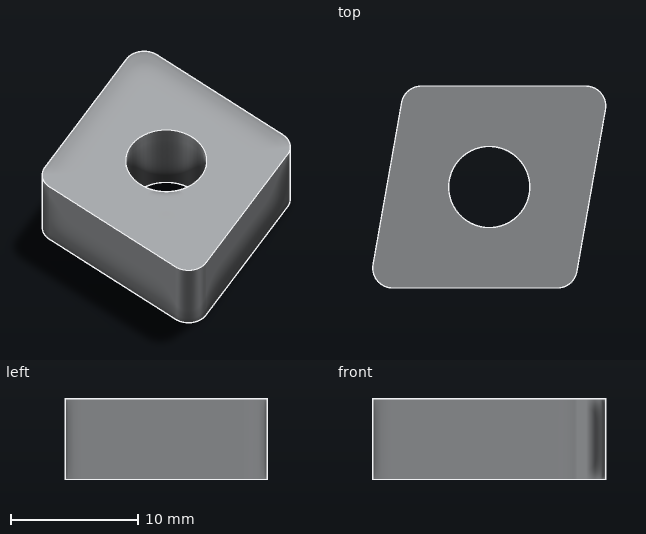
import cadquery as cq
import math

length = 18.31
width = 15.87
thickness = 6.35
hole_diameter = 6.35
acute_angle = math.radians(80.0)

side = width / math.sin(acute_angle)
lean = width / math.tan(acute_angle)

sharp_length = side + lean
corner_radius = (sharp_length - length) / (2 * (sharp_length / width - 1))

outline = [
    (-(side + lean) / 2, -width / 2),
    ((side - lean) / 2, -width / 2),
    ((side + lean) / 2, width / 2),
    (-(side - lean) / 2, width / 2),
]

body = cq.Workplane("XY").polyline(outline).close().extrude(thickness)
rounded_body = body.edges("|Z").fillet(corner_radius)

result = rounded_body.faces(">Z").workplane(origin=(0, 0, thickness)).hole(hole_diameter)